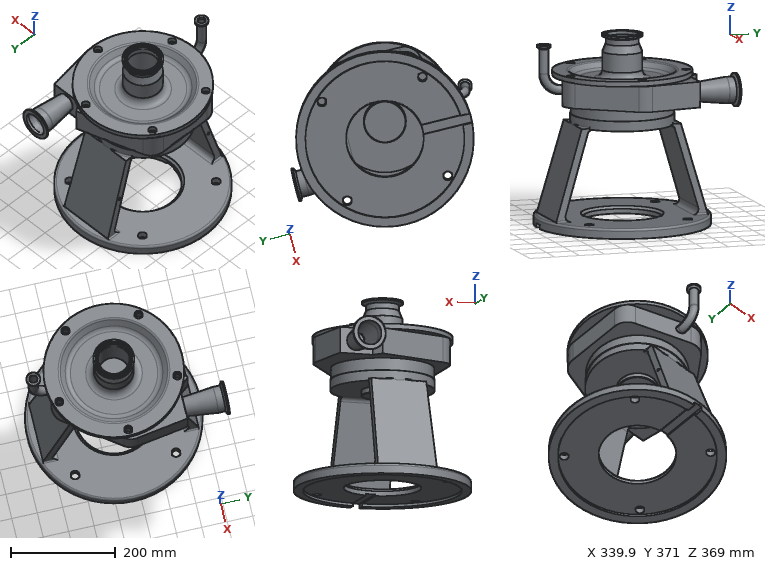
import cadquery as cq
import math

base_radius = 169.95
base_height = 20.0
base_edge_fillet = 4.5
base_bore_radius = 74.0
base_bore_chamfer = 5.2
base_bolt_circle_radius = 140.0
base_bolt_radius = 8.5
underside_radius = 152.0
underside_depth = 5.5
drain_slot_width = 18.5
drain_slot_height = 8.5

ring_bottom = 196.0
ring_step = 215.7
ring_lower_radius = 100.0
ring_upper_radius = 99.0
boss_radius = 40.5
boss_bottom = 185.0
boss_chamfer = 1.0

leg_outer_top = 100.5
leg_outer_bottom = 152.7
leg_thickness = 15.2
leg_half_width_top = 55.2
leg_half_width_bottom = 59.3
leg_fillet = 10.5
leg_shelf = 2.0
leg_shelf_fillet = 2.5
leg_side_fillet = 3.0
leg_hole_radius = 2.5
leg_hole_depth = 11.0
leg_hole_height = 106.8

casing_bottom = 239.5
casing_top = 289.5
casing_apothem = 115.0
casing_corner_fillet = 34.0
casing_sides = 5
discharge_face = 116.0
discharge_corner_x = 123.5

cover_top = 299.0
cover_radius = 134.5
cover_bolt_circle_radius = 122.0
cover_bolt_radius = 7.8
thread_radius = 5.5
thread_depth = 18.5
dish_rim_radius = 106.8
dish_depth = 15.2
dish_floor_radius = 83.5
dish_floor_fillet = 14.0
dish_hub_fillet = 15.5

inlet_top = 369.0
inlet_body_radius = 38.5
inlet_neck_radius = 32.0
inlet_bore_radius = 30.0
inlet_flange_radius = 39.3
inlet_shoulder = 334.7
inlet_neck_bottom = 350.3

outlet_x = 91.2
outlet_end = 199.5
outlet_flange_radius = 32.3
outlet_neck_radius = 25.5
outlet_root_radius = 18.5
outlet_cone_end = 178.0
outlet_wall = 2.2

pipe_radius = 9.3
pipe_bore_radius = 7.8
pipe_flange_radius = 13.5
pipe_axis_z = 267.0
pipe_y = -158.0
pipe_top = 355.5
pipe_bend_radius = 34.0
pipe_start_y = -115.0

flange_thickness = 3.7
flange_taper = 3.7
inlet_groove_inner_radius = 32.5
inlet_groove_outer_radius = 35.5
inlet_groove_depth = 1.5

casing_height = casing_top - casing_bottom
casing_middle = (casing_top + casing_bottom) / 2
dish_floor = cover_top - dish_depth


def disc(radius, bottom, top):
    return cq.Workplane("XY").workplane(offset=bottom).circle(radius).extrude(top - bottom)


def polar_points(radius, count, start):
    angles = [math.radians(start + i * 360 / count) for i in range(count)]
    return [(radius * math.cos(a), radius * math.sin(a)) for a in angles]


def make_base():
    plate = disc(base_radius, 0, base_height).faces(">Z").edges().fillet(base_edge_fillet)
    bore = disc(base_bore_radius, 0, base_height)
    plate = plate.cut(bore)
    plate = plate.faces(">Z").edges(cq.selectors.RadiusNthSelector(0)).chamfer(base_bore_chamfer)
    holes = (
        cq.Workplane("XY")
        .pushPoints(polar_points(base_bolt_circle_radius, 4, 45))
        .circle(base_bolt_radius)
        .extrude(base_height)
    )
    slot = cq.Workplane("XY").box(
        drain_slot_width, base_radius, drain_slot_height, centered=(True, False, False)
    ).translate((0, -base_radius, 0))
    recess = disc(underside_radius, 0, underside_depth)
    return plate.cut(holes).cut(slot).cut(recess)


def make_leg():
    """Leaning leg on the +Y side, rounded into the base and the ring on its inner face."""
    lean = (leg_outer_bottom - leg_outer_top) / (ring_bottom - base_height)
    face_angle = math.atan(1 / lean)
    low_run = leg_fillet / math.tan(face_angle / 2)
    high_run = leg_fillet * math.tan(face_angle / 2)
    inner_bottom = leg_outer_bottom - leg_thickness
    inner_top = leg_outer_top - leg_thickness
    along_y = math.cos(face_angle)
    along_z = math.sin(face_angle)

    blank_top = ring_bottom + leg_shelf + leg_shelf_fillet
    outer_blank_top = leg_outer_top - lean * (blank_top - ring_bottom)
    foot = leg_half_width_bottom + leg_side_fillet
    side_start = base_height + leg_side_fillet
    side = (
        cq.Workplane("YZ")
        .moveTo(leg_outer_bottom, base_height)
        .lineTo(outer_blank_top, blank_top)
        .lineTo(inner_top - high_run, blank_top)
        .lineTo(inner_top - high_run, ring_bottom)
        .radiusArc(
            (inner_top + high_run * along_y, ring_bottom - high_run * along_z), leg_fillet
        )
        .lineTo(inner_bottom - low_run * along_y, base_height + low_run * along_z)
        .radiusArc((inner_bottom - low_run, base_height), leg_fillet)
        .close()
        .extrude(foot, both=True)
    )
    front = (
        cq.Workplane("XZ")
        .moveTo(-foot, base_height)
        .lineTo(foot, base_height)
        .radiusArc((leg_half_width_bottom, side_start), leg_side_fillet)
        .lineTo(leg_half_width_top, blank_top)
        .lineTo(-leg_half_width_top, blank_top)
        .lineTo(-leg_half_width_bottom, side_start)
        .radiusArc((-foot, base_height), leg_side_fillet)
        .close()
        .extrude(-base_radius)
    )
    hole_y = leg_outer_bottom - lean * (leg_hole_height - base_height) - leg_thickness / 2
    hole = (
        cq.Workplane("YZ", origin=(-leg_half_width_bottom, hole_y, leg_hole_height))
        .circle(leg_hole_radius)
        .extrude(leg_hole_depth)
    )
    return side.intersect(front).cut(hole).cut(make_shelf_cutter(blank_top))


def make_shelf_cutter(blank_top):
    """Turned space outside the ring that leaves a small rounded shelf on top of a leg."""
    shelf = ring_bottom + leg_shelf
    return (
        cq.Workplane("XZ")
        .moveTo(ring_lower_radius, blank_top)
        .radiusArc((ring_lower_radius + leg_shelf_fillet, shelf), -leg_shelf_fillet)
        .lineTo(base_radius, shelf)
        .lineTo(base_radius, blank_top)
        .close()
        .revolve(360, (0, 0, 0), (0, 1, 0))
    )


def make_casing():
    vertex_radius = casing_apothem / math.cos(math.pi / casing_sides)
    corners = polar_points(vertex_radius, casing_sides, 72)
    rounded = corners[1:]
    side_normal = math.pi / casing_sides
    block_x = (casing_apothem - discharge_face * math.sin(side_normal)) / math.cos(side_normal)
    block = [(discharge_corner_x, discharge_face), (block_x, discharge_face)]
    body = (
        cq.Workplane("XY")
        .workplane(offset=casing_bottom)
        .polyline(corners + block)
        .close()
        .extrude(casing_height)
    )
    for x, y in rounded:
        corner = cq.selectors.NearestToPointSelector((x, y, casing_middle))
        body = body.edges("|Z").edges(corner).fillet(casing_corner_fillet)
    return body


def make_dish():
    """Turned recess of the cover: rounded rim, 45 degree wall, rounded floor and hub."""
    slope = math.sin(math.pi / 4)
    wall_bottom_r = dish_floor_radius + dish_floor_fillet * slope
    wall_bottom_z = dish_floor + dish_floor_fillet * (1 - slope)
    mid_r = dish_floor_radius + dish_floor_fillet * math.sin(math.pi / 8)
    mid_z = dish_floor + dish_floor_fillet * (1 - math.cos(math.pi / 8))
    corner_r = wall_bottom_r + cover_top - wall_bottom_z
    rim_tangent = dish_rim_radius - corner_r
    rim_start = (corner_r - rim_tangent * slope, cover_top - rim_tangent * slope)
    rim_fillet = rim_tangent / math.tan(math.pi / 8)
    return (
        cq.Workplane("XZ")
        .moveTo(inlet_body_radius, cover_top)
        .lineTo(inlet_body_radius, dish_floor + dish_hub_fillet)
        .radiusArc((inlet_body_radius + dish_hub_fillet, dish_floor), -dish_hub_fillet)
        .lineTo(dish_floor_radius, dish_floor)
        .threePointArc((mid_r, mid_z), (wall_bottom_r, wall_bottom_z))
        .lineTo(*rim_start)
        .radiusArc((dish_rim_radius, cover_top), rim_fillet)
        .close()
        .revolve(360, (0, 0, 0), (0, 1, 0))
    )


def make_bearing_ring():
    lower = disc(ring_lower_radius, ring_bottom, ring_step)
    upper = disc(ring_upper_radius, ring_step, casing_bottom)
    boss = disc(boss_radius, boss_bottom, ring_bottom).faces("<Z").edges().chamfer(boss_chamfer)
    return lower.union(upper).union(boss)


def make_bolt_holes():
    """Clearance holes through the cover, with threaded holes ending in a cone below."""
    cone_bottom = casing_top - thread_depth - thread_radius
    hole = (
        cq.Workplane("XZ")
        .polyline([
            (0, cone_bottom),
            (thread_radius, casing_top - thread_depth),
            (thread_radius, casing_top),
            (cover_bolt_radius, casing_top),
            (cover_bolt_radius, cover_top),
            (0, cover_top),
        ])
        .close()
        .revolve(360, (0, 0, 0), (0, 1, 0))
    )
    holes = cq.Workplane("XY")
    for x, y in polar_points(cover_bolt_circle_radius, casing_sides, 0):
        holes = holes.add(hole.translate((x, y, 0)))
    return holes.combine()


def turned(profile):
    """Solid of revolution from (radius, height) points, turned about the Z axis."""
    return cq.Workplane("XZ").polyline(profile).close().revolve(360, (0, 0, 0), (0, 1, 0))


def flange_profile(flange_radius, neck_radius, end):
    """Points from the neck out to the flat end of a clamp flange."""
    return [
        (neck_radius, end - flange_thickness - flange_taper),
        (flange_radius, end - flange_thickness),
        (flange_radius, end),
        (0, end),
    ]


def make_inlet():
    body = turned([
        (0, dish_floor),
        (inlet_body_radius, dish_floor),
        (inlet_body_radius, inlet_shoulder),
        (inlet_neck_radius, inlet_neck_bottom),
    ] + flange_profile(inlet_flange_radius, inlet_neck_radius, inlet_top))
    groove = (
        cq.Workplane("XY")
        .workplane(offset=inlet_top - inlet_groove_depth)
        .circle(inlet_groove_outer_radius)
        .circle(inlet_groove_inner_radius)
        .extrude(inlet_groove_depth)
    )
    return body.cut(groove)


def along_outlet(solid):
    """Lay a solid turned about Z along the discharge axis, which points to +Y."""
    return solid.rotate((0, 0, 0), (1, 0, 0), -90).translate((outlet_x, 0, casing_middle))


def make_outlet():
    profile = [
        (0, discharge_face),
        (outlet_root_radius, discharge_face),
        (outlet_neck_radius, outlet_cone_end),
    ]
    profile += flange_profile(outlet_flange_radius, outlet_neck_radius, outlet_end)
    return along_outlet(turned(profile))


def make_outlet_bore():
    neck_bore = outlet_neck_radius - outlet_wall
    return along_outlet(turned([
        (0, discharge_face),
        (outlet_root_radius - outlet_wall, discharge_face),
        (neck_bore, outlet_cone_end),
        (neck_bore, outlet_end),
        (0, outlet_end),
    ]))


def bent_tube(radius):
    """Round bar that leaves the casing to -Y and turns upward."""
    bend_z = pipe_axis_z + pipe_bend_radius
    bend_y = pipe_y + pipe_bend_radius
    diagonal = pipe_bend_radius * math.sin(math.pi / 4)
    path = (
        cq.Workplane("YZ")
        .moveTo(pipe_start_y, pipe_axis_z)
        .lineTo(bend_y, pipe_axis_z)
        .threePointArc((bend_y - diagonal, bend_z - diagonal), (pipe_y, bend_z))
        .lineTo(pipe_y, pipe_top)
    )
    return cq.Workplane("XZ", origin=(0, pipe_start_y, pipe_axis_z)).circle(radius).sweep(path)


def make_drain_pipe():
    flange = turned(
        [(0, pipe_top - flange_thickness - flange_taper)]
        + flange_profile(pipe_flange_radius, pipe_radius, pipe_top)
    )
    return bent_tube(pipe_radius).union(flange.translate((0, pipe_y, 0)))


cover = disc(cover_radius, casing_top, cover_top)
inlet_bore = disc(inlet_bore_radius, dish_floor, inlet_top)

result = (
    make_base()
    .union(make_leg())
    .union(make_leg().mirror("XZ"))
    .union(make_bearing_ring())
    .union(make_casing())
    .union(cover)
    .cut(make_dish())
    .cut(make_bolt_holes())
    .union(make_inlet())
    .union(make_outlet())
    .union(make_drain_pipe())
    .cut(inlet_bore)
    .cut(make_outlet_bore())
    .cut(bent_tube(pipe_bore_radius))
)